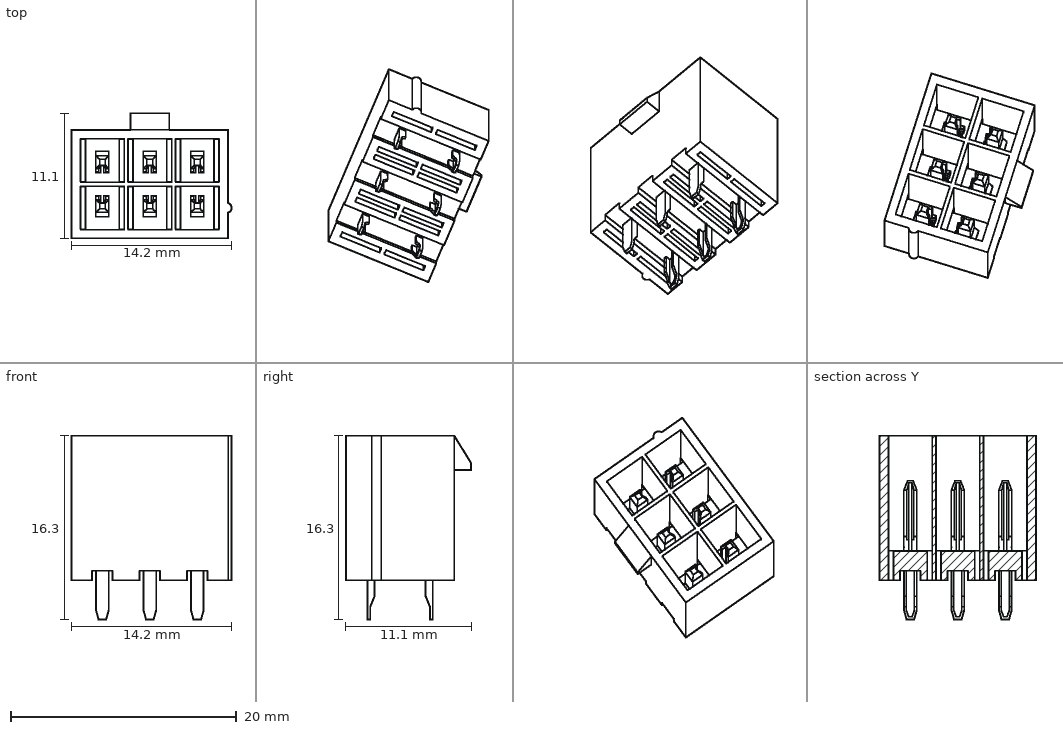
import cadquery as cq

OVERALL_HEIGHT = 16.3
HOUSING_WIDTH = 13.89
HOUSING_DEPTH = 9.6
HOUSING_HEIGHT = 12.81
TAIL_LENGTH = OVERALL_HEIGHT - HOUSING_HEIGHT

COLUMNS = 3
PITCH = 4.2
CELL_SIZE = 3.85
FLOOR_HEIGHT = 2.6
FLOOR_WIDTH = 3.0
SLIT_WIDTH = (CELL_SIZE - FLOOR_WIDTH) / 2
SLIT_LENGTH = 3.77
FOOT_SLOT_WIDTH = 1.8
FOOT_SLOT_HEIGHT = 0.83
COLUMN_POSITIONS = [(column - (COLUMNS - 1) / 2) * PITCH for column in range(COLUMNS)]
ROW_DISTANCE = PITCH / 2

LATCH_WIDTH = 3.45
LATCH_REACH = 1.5
LATCH_HEIGHT = 3.05
LATCH_LIP = 0.62
RIB_REACH = 0.31
RIB_RADIUS = 0.45

PIN_WIDTH = 1.14
PIN_TIP_SIZE = 0.5
PIN_TIP_HEIGHT = 0.82
PIN_LENGTH = 6.2
PIN_CENTRE = 1.94
PIN_BACK = 2.9
BASE_FRONT = 1.01
BASE_HEIGHT = 1.3
BACK_SLOPE_HEIGHT = 0.98
SHEET = 0.26
SHOULDER_CHAMFER = 0.07
SEAM_WIDTH = 0.26
SEAM_END = 1.63
LEDGE_DROP = 0.33

TAIL_DEPTH = 0.65
TAIL_END_WIDTH = 0.68
TAIL_END_TAPER = 0.83
FLANGE_END = 1.12
FLANGE_TAPER_START = 2.09
HOLLOW_WIDTH = 0.72
HOLLOW_END_WIDTH = 0.3
HOLLOW_END = 0.25
HOLLOW_FLOOR = 0.2
HOLLOW_BACK = PIN_BACK - HOLLOW_FLOOR


def box(x_range, y_range, z_range):
    """Block spanning the three given ranges."""
    (x0, x1), (y0, y1), (z0, z1) = x_range, y_range, z_range
    return cq.Workplane("XY").box(x1 - x0, y1 - y0, z1 - z0, centered=False).translate((x0, y0, z0))


def side_profile(points, width):
    """Outline in (y, z), extruded along X to the given width, centred on x = 0."""
    return cq.Workplane("YZ").polyline(points).close().extrude(width / 2, both=True)


def make_latch():
    wall = HOUSING_DEPTH / 2
    bottom = HOUSING_HEIGHT - LATCH_HEIGHT
    points = [
        (wall, HOUSING_HEIGHT),
        (wall + LATCH_REACH, bottom + LATCH_LIP),
        (wall + LATCH_REACH, bottom),
        (wall, bottom),
    ]
    return side_profile(points, LATCH_WIDTH)


def make_rib():
    centre_x = HOUSING_WIDTH / 2 + RIB_REACH - RIB_RADIUS
    return cq.Workplane("XY").center(centre_x, -ROW_DISTANCE).circle(RIB_RADIUS).extrude(HOUSING_HEIGHT)


def make_housing():
    block = cq.Workplane("XY").rect(HOUSING_WIDTH, HOUSING_DEPTH).extrude(HOUSING_HEIGHT)
    housing = block.union(make_latch()).union(make_rib())
    cell_centres = [(x, y) for x in COLUMN_POSITIONS for y in (-ROW_DISTANCE, ROW_DISTANCE)]
    slit_offset = (FLOOR_WIDTH + SLIT_WIDTH) / 2
    slit_centres = [(x + side * slit_offset, y) for x, y in cell_centres for side in (-1, 1)]
    cells = (
        cq.Workplane("XY", origin=(0, 0, FLOOR_HEIGHT))
        .pushPoints(cell_centres)
        .rect(CELL_SIZE, CELL_SIZE)
        .extrude(HOUSING_HEIGHT - FLOOR_HEIGHT)
    )
    slits = cq.Workplane("XY").pushPoints(slit_centres).rect(SLIT_WIDTH, SLIT_LENGTH).extrude(FLOOR_HEIGHT)
    foot_slots = (
        cq.Workplane("XY")
        .pushPoints([(x, 0) for x in COLUMN_POSITIONS])
        .rect(FOOT_SLOT_WIDTH, HOUSING_DEPTH)
        .extrude(FOOT_SLOT_HEIGHT)
    )
    return housing.cut(cells).cut(slits).cut(foot_slots)


def make_contact():
    """Part of a back-row pin above the cell floor."""
    half = PIN_WIDTH / 2
    shaft_front = PIN_CENTRE - half
    shaft_back = PIN_CENTRE + half
    shoulder = FLOOR_HEIGHT + BASE_HEIGHT
    ledge = shoulder - LEDGE_DROP
    tip = FLOOR_HEIGHT + PIN_LENGTH
    tip_start = tip - PIN_TIP_HEIGHT

    shaft = box((-half, half), (shaft_front, shaft_back), (FLOOR_HEIGHT, tip_start))
    point = (
        cq.Workplane("XY", origin=(0, PIN_CENTRE, tip_start))
        .rect(PIN_WIDTH, PIN_WIDTH)
        .workplane(offset=PIN_TIP_HEIGHT)
        .rect(PIN_TIP_SIZE, PIN_TIP_SIZE)
        .loft(ruled=True)
    )
    base = side_profile(
        [
            (BASE_FRONT, FLOOR_HEIGHT),
            (BASE_FRONT, shoulder - SHOULDER_CHAMFER),
            (BASE_FRONT + SHOULDER_CHAMFER, shoulder),
            (shaft_back, shoulder),
            (PIN_BACK, shoulder - BACK_SLOPE_HEIGHT),
            (PIN_BACK, FLOOR_HEIGHT),
        ],
        PIN_WIDTH,
    )
    half_groove = half - SHEET
    half_seam = SEAM_WIDTH / 2
    groove = (
        cq.Workplane("XY", origin=(0, 0, ledge))
        .polyline([
            (-half_groove, BASE_FRONT),
            (-half_groove, shaft_front),
            (-half_seam, SEAM_END),
            (half_seam, SEAM_END),
            (half_groove, shaft_front),
            (half_groove, BASE_FRONT),
        ])
        .close()
        .extrude(tip - ledge)
    )
    seam = box((-half_seam, half_seam), (BASE_FRONT, SEAM_END), (FLOOR_HEIGHT, tip))
    return shaft.union(point).union(base).cut(groove).cut(seam)


def tapered_strip(width, end_width, bottom, top, back):
    """Upright block from y = 0 to y = back that narrows in X towards its lower end."""
    half = width / 2
    half_end = end_width / 2
    taper_start = TAIL_END_TAPER - TAIL_LENGTH
    points = [
        (-half, top),
        (-half, taper_start),
        (-half_end, bottom),
        (half_end, bottom),
        (half, taper_start),
        (half, top),
    ]
    return cq.Workplane("XZ").polyline(points).close().extrude(-back)


def make_tail():
    """Part of a back-row pin below the cell floor."""
    front = PIN_BACK - TAIL_DEPTH
    web_front = PIN_BACK - SHEET
    channel = side_profile(
        [
            (PIN_BACK, FLOOR_HEIGHT),
            (PIN_BACK, -TAIL_LENGTH),
            (web_front, -TAIL_LENGTH),
            (web_front, FLANGE_END - TAIL_LENGTH),
            (front, FLANGE_TAPER_START - TAIL_LENGTH),
            (front, FLOOR_HEIGHT),
        ],
        PIN_WIDTH,
    )
    outline = tapered_strip(PIN_WIDTH, TAIL_END_WIDTH, -TAIL_LENGTH, FLOOR_HEIGHT, PIN_BACK)
    hollow = tapered_strip(
        HOLLOW_WIDTH, HOLLOW_END_WIDTH, HOLLOW_END - TAIL_LENGTH, FOOT_SLOT_HEIGHT, HOLLOW_BACK
    )
    return channel.intersect(outline).cut(hollow)


back_pin = make_contact().union(make_tail())
front_pin = back_pin.mirror("XZ")

result = make_housing()
for column_x in COLUMN_POSITIONS:
    for pin in (back_pin, front_pin):
        result = result.union(pin.translate((column_x, 0, 0)))